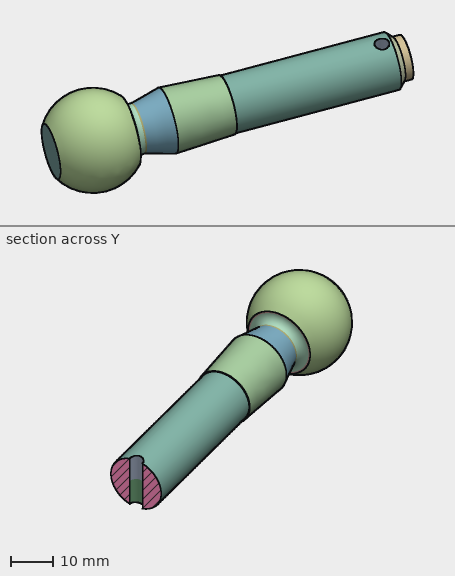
import cadquery as cq
import math


ball_radius = 12.5
overall_length = 89.0
front_flat_y = -10.5
shoulder_y = 9.0

neck_radius = 6.2
neck_fillet_radius = 2.0
neck_land_length = 0.4

collar_radius = 8.1
collar_y = 18.6
taper_end_radius = 7.3
taper_end_y = 33.6

shank_radius = 7.1
tip_radius = 5.5
tip_length = 2.0

hole_diameter = 3.5
hole_from_end = 6.0

end_y = front_flat_y + overall_length
tip_start_y = end_y - tip_length
chamfer_start_y = tip_start_y - (shank_radius - tip_radius)
fillet_end_y = shoulder_y + neck_fillet_radius
flare_start_y = fillet_end_y + neck_land_length


def ball_section_radius(y):
    """Radius of the circle in which the ball meets the plane at y."""
    return math.sqrt(ball_radius**2 - y**2)


def turned_body():
    """Revolve the half outline (radius along X, length along Y) about Y."""
    fillet_centre_radius = neck_radius + neck_fillet_radius
    fillet_middle_offset = neck_fillet_radius * math.sqrt(0.5)
    fillet_middle = (
        fillet_centre_radius - fillet_middle_offset,
        fillet_end_y - fillet_middle_offset,
    )
    outline = (
        cq.Workplane("XY")
        .moveTo(0, front_flat_y)
        .lineTo(ball_section_radius(front_flat_y), front_flat_y)
        .threePointArc((ball_radius, 0), (ball_section_radius(shoulder_y), shoulder_y))
        .lineTo(fillet_centre_radius, shoulder_y)
        .threePointArc(fillet_middle, (neck_radius, fillet_end_y))
        .lineTo(neck_radius, flare_start_y)
        .lineTo(collar_radius, collar_y)
        .lineTo(taper_end_radius, taper_end_y)
        .lineTo(shank_radius, taper_end_y)
        .lineTo(shank_radius, chamfer_start_y)
        .lineTo(tip_radius, tip_start_y)
        .lineTo(tip_radius, end_y)
        .lineTo(0, end_y)
        .close()
    )
    return outline.revolve(360, (0, 0, 0), (0, 1, 0))


def cross_hole():
    """Pin hole right through the shank along Z."""
    return (
        cq.Workplane("XY")
        .center(0, end_y - hole_from_end)
        .circle(hole_diameter / 2)
        .extrude(shank_radius, both=True)
    )


result = turned_body().cut(cross_hole())